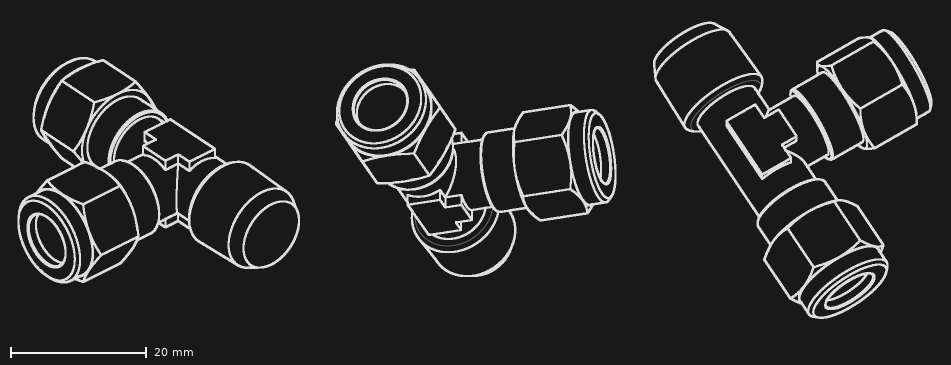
import cadquery as cq
import math


total_length = 46.0
run_nut_end = 25.5
branch_nut_end = 26.0
thread_end = total_length - run_nut_end

tube_radius = 5.0
collar_radius = 5.95
collar_start = 9.0
collar_chamfer = 0.2

pad_height = 12.0
pad_half_width = tube_radius
stem_half_width = pad_half_width / 2

hex_flats = 14.0
hex_corners = hex_flats / math.cos(math.radians(30))
hex_length = 8.55
hex_chamfer_angle = 30.0
ring_radius = 6.9
ring_length = 3.0
ring_chamfer = 0.55
nut_length = ring_length + hex_length

socket_radius = 4.15
socket_depth = 1.5
socket_chamfer = 0.15

thread_radius = 6.75
thread_start = 9.9
thread_taper = 1 / 32
thread_lead_length = 2.1
thread_tip_radius = 5.45
thread_back_start = collar_start
thread_back_end = 9.2
thread_back_radius = 6.05
thread_shoulder_bulge = 0.1


def rod(radius, start, end):
    """Cylinder along +Z between two heights."""
    return cq.Workplane("XY").workplane(offset=start).circle(radius).extrude(end - start)


def chamfered_hexagon(start):
    """Hexagon along +Z with its corners turned off at both ends, flats facing +Y and -Y."""
    prism = cq.Workplane("XY").workplane(offset=start).polygon(6, hex_corners).extrude(hex_length)
    face_radius = hex_flats / 2
    outer_radius = hex_corners / 2
    drop = (outer_radius - face_radius) * math.tan(math.radians(hex_chamfer_angle))
    end = start + hex_length
    turned = (
        cq.Workplane("XZ")
        .moveTo(0, start)
        .lineTo(face_radius, start)
        .lineTo(outer_radius, start + drop)
        .lineTo(outer_radius, end - drop)
        .lineTo(face_radius, end)
        .lineTo(0, end)
        .close()
        .revolve(360, (0, 0), (0, 1))
    )
    return prism.intersect(turned)


def nut_end(length):
    """Tube, collar and compression nut along +Z, from the origin to the nut's face."""
    hex_start = length - nut_length
    ring_start = length - ring_length
    tube = rod(tube_radius, 0, collar_start)
    collar = rod(collar_radius, collar_start, hex_start).faces("<Z").chamfer(collar_chamfer)
    ring = rod(ring_radius, ring_start, length).faces(">Z").chamfer(ring_chamfer)
    solid = tube.union(collar).union(chamfered_hexagon(hex_start)).union(ring)
    socket = rod(socket_radius, length - socket_depth, length)
    mouth = cq.Workplane("XY").add(
        cq.Solid.makeCone(
            socket_radius,
            socket_radius + socket_chamfer,
            socket_chamfer,
            pnt=cq.Vector(0, 0, length - socket_chamfer),
        )
    )
    return solid.cut(socket).cut(mouth)


def thread_connection():
    """Tube and tapered thread blank along +X, turned about the X axis."""
    lead_start = thread_end - thread_lead_length
    lead_radius = thread_radius - thread_taper * (lead_start - thread_start)
    return (
        cq.Workplane("XY")
        .lineTo(0, tube_radius)
        .lineTo(thread_back_start, tube_radius)
        .lineTo(thread_back_end, thread_back_radius)
        .sagittaArc((thread_start, thread_radius), thread_shoulder_bulge)
        .lineTo(lead_start, lead_radius)
        .lineTo(thread_end, thread_tip_radius)
        .lineTo(thread_end, 0)
        .close()
        .revolve(360, (0, 0), (1, 0))
    )


def tee_pads():
    """T-shaped block whose ends stand above and below the tubes as flat pads."""
    bar = cq.Workplane("XY").box(2 * pad_half_width, pad_half_width, pad_height)
    stem = (
        cq.Workplane("XY")
        .box(2 * stem_half_width, pad_half_width, pad_height)
        .translate((0, -pad_half_width / 2, 0))
    )
    return bar.union(stem)


run_nut = nut_end(run_nut_end).rotate((0, 0, 0), (0, 0, 1), 90).rotate((0, 0, 0), (0, 1, 0), -90)
branch_nut = nut_end(branch_nut_end).rotate((0, 0, 0), (1, 0, 0), 90)

result = thread_connection().union(run_nut).union(branch_nut).union(tee_pads())